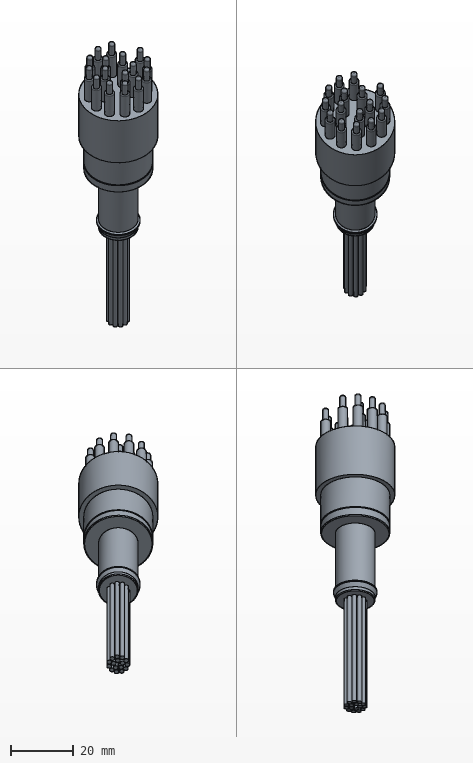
import cadquery as cq
import math

TOTAL_LENGTH = 111.96
WIRE_LENGTH = 40.0
COLLAR_HEIGHT = 3.8
TUBE_LENGTH = 21.6
SLEEVE_LENGTH = 14.45
HEAD_LENGTH = 18.25
PIN_BASE_LENGTH = 9.05

TUBE_BOTTOM = WIRE_LENGTH
SLEEVE_BOTTOM = TUBE_BOTTOM + COLLAR_HEIGHT + TUBE_LENGTH
HEAD_BOTTOM = SLEEVE_BOTTOM + SLEEVE_LENGTH
HEAD_TOP = HEAD_BOTTOM + HEAD_LENGTH

HEAD_DIAMETER = 25.35
SLEEVE_DIAMETER = 22.15
TUBE_DIAMETER = 12.7
EDGE_BEVEL = 0.3

GROOVE_OFFSET = 3.0
GROOVE_WIDTH = 0.3
GROOVE_DEPTH = 0.1

COLLAR_DIAMETER = 14.0
COLLAR_CONE_START = 1.4
COLLAR_RIM_BOTTOM = 3.0
COLLAR_RIM_TOP = 3.45

PIN_BASE_DIAMETER = 3.17
PIN_BASE_ROUND = 0.2
PIN_TIP_DIAMETER = 1.99
PIN_TIP_ROUND = 0.8
OUTER_PIN_RADIUS = 9.525
OUTER_PIN_POSITIONS = 12
INNER_PIN_RADIUS = OUTER_PIN_RADIUS / 2
INNER_PIN_ANGLES = (15.0, 90.0, 165.0, 225.0, 315.0)
KEY_ANGLE = 90.0

BUNDLE_CENTER_X = -0.12
BUNDLE_CENTER_Y = 0.08
WIRE_DIAMETER = 1.5
OUTER_WIRE_RADIUS = 2.98
OUTER_WIRE_COUNT = OUTER_PIN_POSITIONS - 1
WIRE_START_ANGLE = KEY_ANGLE + 180.0
INNER_WIRE_RADIUS = 1.5
INNER_WIRE_COUNT = len(INNER_PIN_ANGLES)


def polar_point(radius, angle):
    """(x, y) of a place on a circle, with the angle in degrees from +X."""
    return radius * math.cos(math.radians(angle)), radius * math.sin(math.radians(angle))


def ring_points(radius, count, start_angle):
    """Evenly spaced (x, y) places on a circle."""
    return [polar_point(radius, start_angle + 360.0 * i / count) for i in range(count)]


def cylinder(diameter, bottom, top):
    return cq.Workplane("XY").workplane(offset=bottom).circle(diameter / 2).extrude(top - bottom)


def make_tube():
    tube = cylinder(TUBE_DIAMETER, TUBE_BOTTOM, SLEEVE_BOTTOM)
    return tube.faces("<Z").edges().chamfer(EDGE_BEVEL)


def make_collar():
    """Rim with a cone narrowing downwards and a short bevel on top."""
    tube_radius = TUBE_DIAMETER / 2
    rim_radius = COLLAR_DIAMETER / 2
    profile = [
        (0, TUBE_BOTTOM + COLLAR_CONE_START),
        (tube_radius, TUBE_BOTTOM + COLLAR_CONE_START),
        (rim_radius, TUBE_BOTTOM + COLLAR_RIM_BOTTOM),
        (rim_radius, TUBE_BOTTOM + COLLAR_RIM_TOP),
        (tube_radius, TUBE_BOTTOM + COLLAR_HEIGHT),
        (0, TUBE_BOTTOM + COLLAR_HEIGHT),
    ]
    return cq.Workplane("XZ").polyline(profile).close().revolve(360, (0, 0), (0, 1))


def make_sleeve():
    sleeve = cylinder(SLEEVE_DIAMETER, SLEEVE_BOTTOM, HEAD_BOTTOM)
    sleeve = sleeve.faces("<Z").edges().chamfer(EDGE_BEVEL)
    groove_bottom = SLEEVE_BOTTOM + GROOVE_OFFSET
    groove_top = groove_bottom + GROOVE_WIDTH
    outside = cylinder(HEAD_DIAMETER, groove_bottom, groove_top)
    core = cylinder(SLEEVE_DIAMETER - 2 * GROOVE_DEPTH, groove_bottom, groove_top)
    return sleeve.cut(outside.cut(core))


def make_pin():
    """Stepped pin standing on the head, at the part's axis."""
    base_top = HEAD_TOP + PIN_BASE_LENGTH
    base = cylinder(PIN_BASE_DIAMETER, HEAD_TOP, base_top).faces(">Z").edges().fillet(PIN_BASE_ROUND)
    tip = cylinder(PIN_TIP_DIAMETER, base_top, TOTAL_LENGTH).faces(">Z").edges().fillet(PIN_TIP_ROUND)
    return base.union(tip)


def make_body():
    body = cylinder(HEAD_DIAMETER, HEAD_BOTTOM, HEAD_TOP)
    for section in (make_sleeve(), make_tube(), make_collar()):
        body = body.union(section)
    return body


def add_copies(body, shape, places):
    for x, y in places:
        body = body.union(shape.translate((x, y, 0)))
    return body


outer_pins = ring_points(OUTER_PIN_RADIUS, OUTER_PIN_POSITIONS, KEY_ANGLE)[1:]
inner_pins = [polar_point(INNER_PIN_RADIUS, angle) for angle in INNER_PIN_ANGLES]

outer_wires = ring_points(OUTER_WIRE_RADIUS, OUTER_WIRE_COUNT, WIRE_START_ANGLE)
inner_wires = ring_points(INNER_WIRE_RADIUS, INNER_WIRE_COUNT, KEY_ANGLE)
wire = cylinder(WIRE_DIAMETER, 0, WIRE_LENGTH).translate((BUNDLE_CENTER_X, BUNDLE_CENTER_Y, 0))

result = make_body()
result = add_copies(result, make_pin(), outer_pins + inner_pins)
result = add_copies(result, wire, outer_wires + inner_wires)